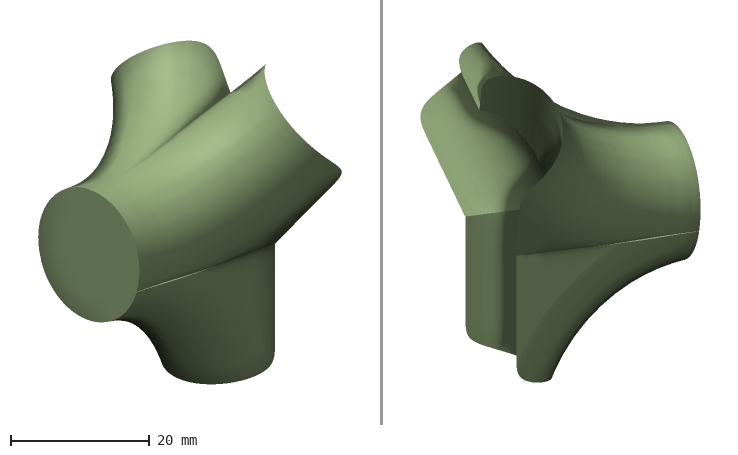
import cadquery as cq
import math

TUBE_RADIUS = 10.0
FULL_TURN = 360.0
REACH = 71.9

RIGHT_ANGLE = 50.0
LEFT_ANGLE = 180.0 - RIGHT_ANGLE
LOWER_ANGLE = -90.0

UPPER_MITRE = (RIGHT_ANGLE + LEFT_ANGLE) / 2
RIGHT_MITRE = (RIGHT_ANGLE + LOWER_ANGLE) / 2
LEFT_MITRE = 180.0 - RIGHT_MITRE

BEND_RADIUS = 35.0
BEND_SWEEP = 85.0
UPPER_BEND_START = 1.35
LOWER_BEND_START = -3.0

CHANNEL_RADIUS = 10.1
UPPER_CHANNEL_DEPTH = 29.35
UPPER_CHANNEL_TILT = 11.6
LOWER_CHANNEL_DEPTH = 29.95
LOWER_CHANNEL_TILT = 0.0


def bend_point(bend_start, sweep):
    """Point on the centre line after turning by sweep degrees."""
    angle = math.radians(sweep)
    return (BEND_RADIUS * (1 - math.cos(angle)), bend_start + BEND_RADIUS * math.sin(angle))


def bend_line(bend_start):
    """Centre line of a bend that starts along +Y and turns towards +X."""
    middle = bend_point(bend_start, BEND_SWEEP / 2)
    end = bend_point(bend_start, BEND_SWEEP)
    return cq.Workplane("XY").moveTo(0, bend_start).threePointArc(middle, end)


def bent_tube(bend_start):
    """Round bar along the bend, with a straight neck where the bend starts late."""
    start_section = cq.Workplane("XZ", origin=(0, bend_start, 0)).circle(TUBE_RADIUS)
    tube = start_section.sweep(bend_line(bend_start))
    if bend_start > 0:
        tube = tube.union(cq.Workplane("XZ").circle(TUBE_RADIUS).extrude(-bend_start))
    return tube


def flat_sided_web(bend_start):
    """Filling behind the centre line, as wide as the tube."""
    end_x = bend_point(bend_start, BEND_SWEEP)[0]
    profile = bend_line(bend_start).lineTo(end_x, REACH).lineTo(0, REACH).close()
    return profile.extrude(TUBE_RADIUS, both=True)


def back_channel(depth, tilt):
    """Round channel along the arm, open to everything behind its axis."""
    lean = math.radians(tilt)
    along = (math.cos(lean), math.sin(lean), 0)
    behind = (-math.sin(lean), math.cos(lean), 0)
    centre = (0, depth, 0)
    across_axis = cq.Plane(origin=centre, normal=along)
    through_axis = cq.Plane(origin=centre, xDir=along, normal=behind)
    bore = cq.Workplane(across_axis).circle(CHANNEL_RADIUS).extrude(REACH, both=True)
    opening = cq.Workplane(through_axis).rect(2 * REACH, 2 * CHANNEL_RADIUS).extrude(REACH)
    return bore.union(opening)


def wedge_corner(angle):
    """Far point in the XZ plane, on the mitre plane at this angle."""
    return (REACH * math.cos(math.radians(angle)), REACH * math.sin(math.radians(angle)))


def mitre_wedge(first_mitre, last_mitre, direction):
    """Sector about the Y axis between two mitre planes, reaching out along the arm."""
    corners = [wedge_corner(angle) for angle in (first_mitre, direction, last_mitre)]
    return cq.Workplane("XZ").polyline([(0, 0), *corners]).close().extrude(-REACH)


def make_arm(bend_start, channel, direction, first_mitre, last_mitre):
    """One arm, turned about the Y axis to its direction and cut off at its mitre planes."""
    arm = bent_tube(bend_start).union(flat_sided_web(bend_start)).cut(channel)
    arm = arm.rotate((0, 0, 0), (0, 1, 0), -direction)
    return arm.intersect(mitre_wedge(first_mitre, last_mitre, direction))


def upper_arm(direction, first_mitre, last_mitre):
    """One of the two upper arms, which mirror each other."""
    channel = back_channel(UPPER_CHANNEL_DEPTH, UPPER_CHANNEL_TILT)
    return make_arm(UPPER_BEND_START, channel, direction, first_mitre, last_mitre)


def lower_arm():
    """The arm that points straight down."""
    channel = back_channel(LOWER_CHANNEL_DEPTH, LOWER_CHANNEL_TILT)
    last_mitre = FULL_TURN + RIGHT_MITRE
    return make_arm(LOWER_BEND_START, channel, LOWER_ANGLE, LEFT_MITRE, last_mitre)


upper_sectors = [
    (RIGHT_ANGLE, RIGHT_MITRE, UPPER_MITRE),
    (LEFT_ANGLE, UPPER_MITRE, LEFT_MITRE),
]
upper_arms = [upper_arm(*sector) for sector in upper_sectors]
lower = lower_arm()

result = cq.Compound.makeCompound([*[arm.val() for arm in upper_arms], lower.val()])